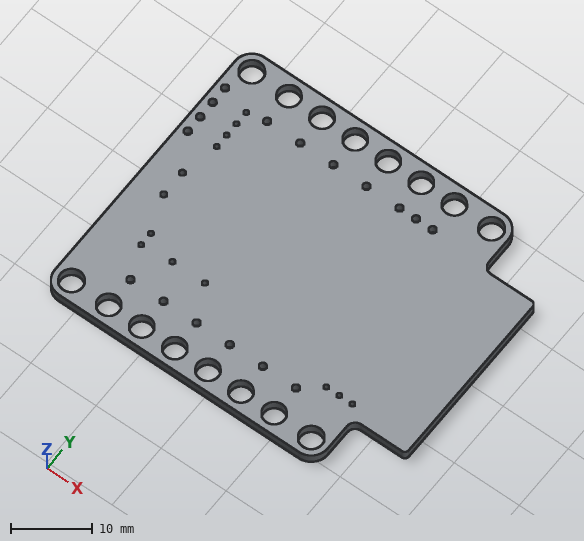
import cadquery as cq

length = 50.05
body_side = 41.95
thickness = 1.6
tab_width = 26.5
corner_radius = 2.55
inner_radius = 1.25
tab_radius = 0.6

mount_diameter = 3.3
pad_diameter = 3.15
pin_diameter = 1.0
sensor_diameter = 0.85
jumper_diameter = 0.75
header_diameter = 0.7

pad_count = 6
pad_span = 25.4
pad_pitch = pad_span / (pad_count - 1)
pin_row_y = 13.95

edge_column_x = -23.7
edge_column_y = 10.8
edge_count = 4
edge_pitch = pad_pitch / 2
header_pitch = 2.0
upper_header_count = 4
lower_header_count = 2
tab_header_count = 3
upper_header_x = -19.55
upper_header_y = 10.4
lower_header_x = -18.65
lower_header_y = -8.25
tab_header_x = 13.55
tab_header_y = -11.6
sensor_x = -20.7
sensor_pitch = 3.8
jumper_x = -11.65
jumper_y = -8.85
jumper_pitch = 5.0

left = -length / 2
body_right = left + body_side
body_center_x = left + body_side / 2
mount_offset = body_side / 2 - corner_radius
tab_length = length - body_side


def spread(center, pitch, count):
    """Evenly spaced coordinates centred on the given value."""
    start = center - pitch * (count - 1) / 2
    return [start + i * pitch for i in range(count)]


def row(center_x, y, pitch, count):
    return [(x, y) for x in spread(center_x, pitch, count)]


def column(x, center_y, pitch, count):
    return [(x, y) for y in spread(center_y, pitch, count)]


def make_board():
    body = cq.Workplane("XY").box(body_side, body_side, thickness).translate((body_center_x, 0, 0))
    body = body.edges("|Z").fillet(corner_radius)
    tab = (
        cq.Workplane("XY")
        .box(body_side / 2 + tab_length, tab_width, thickness)
        .translate(((body_center_x + length / 2) / 2, 0, 0))
        .edges("|Z and >X")
        .fillet(tab_radius)
    )
    board = body.union(tab)
    for side in (-1, 1):
        corner = cq.selectors.NearestToPointSelector((body_right, side * tab_width / 2, 0))
        board = board.edges("|Z").edges(corner).fillet(inner_radius)
    return board


def drill(board, diameter, points):
    bottom = cq.Workplane("XY").workplane(offset=-thickness / 2)
    cutters = bottom.pushPoints(points).circle(diameter / 2).extrude(thickness)
    return board.cut(cutters)


mount_points = []
pad_points = []
pin_points = column(edge_column_x, edge_column_y, edge_pitch, edge_count)
for side in (-1, 1):
    mount_points += row(body_center_x, side * mount_offset, 2 * mount_offset, 2)
    pad_points += row(body_center_x, side * mount_offset, pad_pitch, pad_count)
    pin_points += row(body_center_x, side * pin_row_y, pad_pitch, pad_count)
pin_points.append((body_center_x + 2 * pad_pitch, pin_row_y))

header_points = column(upper_header_x, upper_header_y, header_pitch, upper_header_count)
header_points += column(lower_header_x, lower_header_y, header_pitch, lower_header_count)
header_points += row(tab_header_x, tab_header_y, header_pitch, tab_header_count)

result = make_board()
result = drill(result, mount_diameter, mount_points)
result = drill(result, pad_diameter, pad_points)
result = drill(result, pin_diameter, pin_points)
result = drill(result, header_diameter, header_points)
result = drill(result, sensor_diameter, column(sensor_x, 0, sensor_pitch, 2))
result = drill(result, jumper_diameter, row(jumper_x, jumper_y, jumper_pitch, 2))